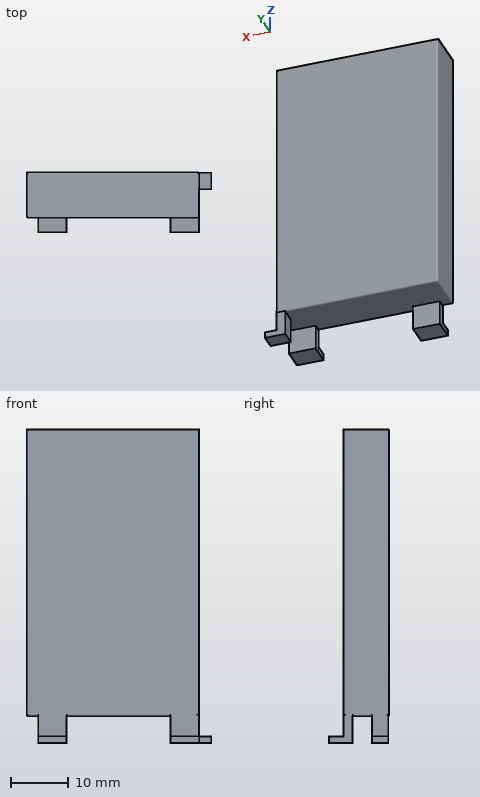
import cadquery as cq

total_height = 54.65
total_width = 32.15
total_depth = 10.5

body_width = 30.0
body_depth = 8.0
body_height = 50.0
edge_radius = 0.35

leg_width = 5.0
leg_thickness = 1.65
foot_thickness = 1.15
left_leg_offset = 1.95
side_leg_width = 2.9
side_leg_inset = 0.1

leg_height = total_height - body_height
leg_top = leg_height + edge_radius
front_foot_reach = total_depth - body_depth
side_foot_reach = total_width - body_width


def box(x, y, z, width, depth, height):
    """Box with its lowest corner at (x, y, z)."""
    return cq.Workplane("XY").box(width, depth, height, centered=False).translate((x, y, z))


def front_leg(x):
    """Leg flush with the front face, with its foot turned toward -Y."""
    post = box(x, 0, 0, leg_width, leg_thickness, leg_top)
    foot = box(x, -front_foot_reach, 0, leg_width, front_foot_reach + leg_thickness, foot_thickness)
    return post.union(foot)


def side_leg():
    """Leg flush with the right face near the back, with its foot turned toward +X."""
    x = body_width - leg_thickness
    y = body_depth - side_leg_inset - side_leg_width
    post = box(x, y, 0, leg_thickness, side_leg_width, leg_top)
    foot = box(x, y, 0, leg_thickness + side_foot_reach, side_leg_width, foot_thickness)
    return post.union(foot)


body = box(0, 0, leg_height, body_width, body_depth, body_height)
body = body.edges("|Z or <Z or (>Z and >Y)").fillet(edge_radius)

result = body
for leg_x in (left_leg_offset, body_width - leg_width):
    result = result.union(front_leg(leg_x))
result = result.union(side_leg())